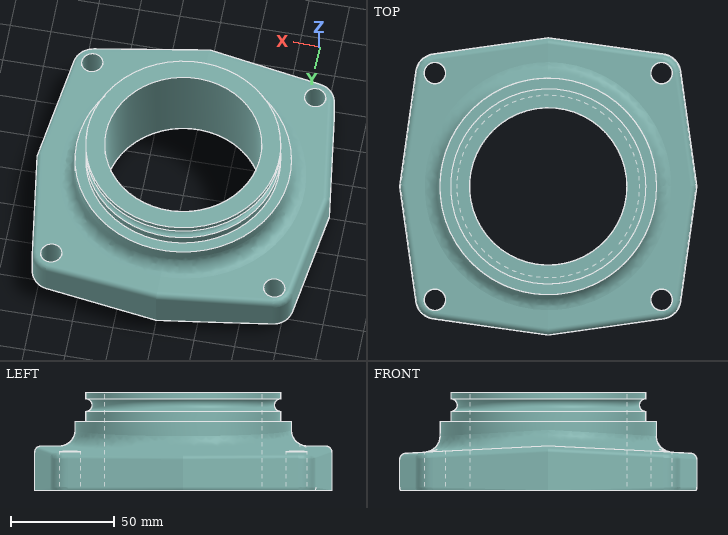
import cadquery as cq
import math

half_width = 72.2
side_angle = 8.0
corner_radius = 10.0
ridge_height = 21.7
roof_angle = 2.9
keel_angle = 1.4
rim_fillet = 3.2

hole_offset = 55.0
hole_diameter = 10.3

total_height = 47.7
shoulder_height = 33.5
shoulder_radius = 52.6
shoulder_fillet = 7.7
collar_radius = 47.4
groove_center_height = 41.5
groove_radius = 3.0
bore_radius = 38.1


def folded_blank():
    """Slab across the full width, with its top and underside folded along the Y axis."""
    keel_height = -rim_fillet
    eave_top = ridge_height - half_width * math.tan(math.radians(roof_angle))
    eave_bottom = keel_height + half_width * math.tan(math.radians(keel_angle))
    profile = [
        (0, keel_height), (half_width, eave_bottom), (half_width, eave_top),
        (0, ridge_height), (-half_width, eave_top), (-half_width, eave_bottom),
    ]
    return cq.Workplane("XZ").polyline(profile).close().extrude(half_width, both=True)


def base_plate():
    """Folded slab with bent sides and rounded rims, cut flat at the mounting plane."""
    corner = half_width / (1 + math.tan(math.radians(side_angle)))
    outline = [
        (half_width, 0), (corner, corner), (0, half_width), (-corner, corner),
        (-half_width, 0), (-corner, -corner), (0, -half_width), (corner, -corner),
    ]
    prism = cq.Workplane("XY").polyline(outline).close().extrude(ridge_height, both=True)
    corner_edges = prism.edges("|Z").filter(lambda edge: abs(edge.Center().x * edge.Center().y) > 2.087)
    prism = prism.newObject(corner_edges.vals()).fillet(corner_radius)
    slab = prism.intersect(folded_blank())

    folded_faces = slab.faces().filter(lambda face: abs(face.normalAt().z) > 0.5)
    rim_edges = folded_faces.edges().filter(lambda edge: abs(edge.Center().x) > 1.5)
    slab = slab.newObject(rim_edges.vals()).fillet(rim_fillet)
    upper_half = cq.Workplane("XY").rect(2 * half_width, 2 * half_width).extrude(ridge_height)
    return slab.intersect(upper_half)


def is_foot_edge(edge):
    """True for the curved edges where the boss meets the sloped plate top."""
    start = edge.startPoint()
    on_boss = abs(math.hypot(start.x, start.y) - shoulder_radius) < 0.1
    return edge.geomType() != "LINE" and on_boss and 1.5 < edge.Center().z < ridge_height + 1.5


def plate_with_boss():
    boss = cq.Workplane("XY").circle(shoulder_radius).extrude(shoulder_height)
    body = base_plate().union(boss)
    foot_edges = body.edges().filter(is_foot_edge)
    return body.newObject(foot_edges.vals()).fillet(shoulder_fillet)


def collar():
    """Collar with a half-round groove around it."""
    groove = (
        cq.Workplane("XZ")
        .center(collar_radius, groove_center_height)
        .circle(groove_radius)
        .revolve(360, (-collar_radius, 0), (-collar_radius, 1))
    )
    return cq.Workplane("XY").circle(collar_radius).extrude(total_height).cut(groove)


def bore():
    return cq.Workplane("XY").circle(bore_radius).extrude(total_height)


def mounting_holes():
    return (
        cq.Workplane("XY")
        .rect(2 * hole_offset, 2 * hole_offset, forConstruction=True)
        .vertices()
        .circle(hole_diameter / 2)
        .extrude(ridge_height)
    )


result = plate_with_boss().union(collar()).cut(bore()).cut(mounting_holes())